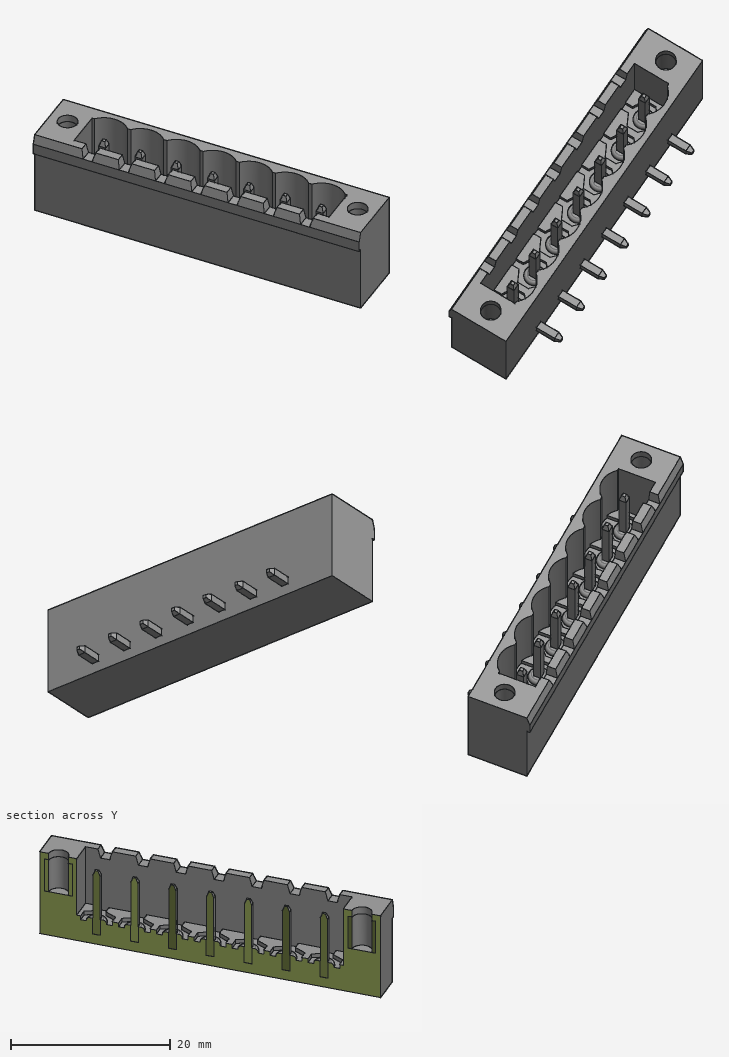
import cadquery as cq

LENGTH = 45.7
BODY_DEPTH = 8.15
HEIGHT = 12.0

LIP_OVERHANG = 0.4
LIP_HEIGHT = 2.75
LIP_BEVEL_HEIGHT = 1.25

PIN_COUNT = 7
PIN_ROW_LENGTH = 30.5
PIN_PITCH = PIN_ROW_LENGTH / (PIN_COUNT - 1)
PIN_ROW_Y = 4.25
PIN_XS = [(LENGTH - PIN_ROW_LENGTH) / 2 + PIN_PITCH * i for i in range(PIN_COUNT)]

PIN_WIDTH = 1.0
PIN_TIP_WIDTH = 0.45
PIN_TIP_LENGTH = 0.75
PIN_TOP_DROP = 1.25
TAIL_Z = 1.95
TAIL_LENGTH = 3.45

CAVITY_LENGTH = 35.75
CAVITY_FRONT_Y = 1.15
CAVITY_SHOULDER_Y = 6.25
CAVITY_DEPTH = 8.25
SCALLOP_RADIUS = 3.05

RECESS_DEPTH = 0.55
RECESS_HALF_WIDTH = 2.1
RECESS_SIDE_FRONT = -1.2
RECESS_SIDE_BACK = 0.4
BACK_CHANNEL_HALF_WIDTH = 1.05
BACK_CHANNEL_START = 1.33
FRONT_CHANNEL_HALF_WIDTH = PIN_WIDTH / 2
FRONT_CHANNEL_START = -2.0

BOSS_DIAMETER = 2.75
BOSS_ROUNDING = 0.45

NOTCH_TOP_WIDTH = 1.9
NOTCH_BOTTOM_WIDTH = 1.25

HOLE_DIAMETER = 2.6
HOLE_END_DISTANCE = 2.5
HOLE_XS = [HOLE_END_DISTANCE, LENGTH - HOLE_END_DISTANCE]
SLEEVE_DIAMETER = 3.65
SLEEVE_TOP_DROP = 1.0
SLEEVE_LENGTH = 4.55

CAVITY_FLOOR_Z = HEIGHT - CAVITY_DEPTH
RECESS_FLOOR_Z = CAVITY_FLOOR_Z - RECESS_DEPTH
SLEEVE_BOTTOM_Z = HEIGHT - SLEEVE_TOP_DROP - SLEEVE_LENGTH


def block():
    """Extruded side profile with the bevelled lip at the top front."""
    profile = [
        (0, 0),
        (BODY_DEPTH, 0),
        (BODY_DEPTH, HEIGHT),
        (0, HEIGHT),
        (-LIP_OVERHANG, HEIGHT - LIP_BEVEL_HEIGHT),
        (-LIP_OVERHANG, HEIGHT - LIP_HEIGHT),
        (0, HEIGHT - LIP_HEIGHT),
    ]
    return cq.Workplane("YZ").polyline(profile).close().extrude(LENGTH)


def cavity_space(bottom_z):
    """Scalloped cavity, reaching from bottom_z up to the top of the housing."""
    depth = HEIGHT - bottom_z
    corner = cq.Workplane("XY", origin=((LENGTH - CAVITY_LENGTH) / 2, CAVITY_FRONT_Y, bottom_z))
    space = corner.box(CAVITY_LENGTH, CAVITY_SHOULDER_Y - CAVITY_FRONT_Y, depth, centered=False)
    scallop_limit = corner.box(CAVITY_LENGTH, BODY_DEPTH - CAVITY_FRONT_Y, depth, centered=False)
    for x in PIN_XS:
        scallop = cq.Workplane("XY", origin=(x, PIN_ROW_Y, bottom_z)).circle(SCALLOP_RADIUS).extrude(depth)
        space = space.union(scallop.intersect(scallop_limit))
    return space


def floor_recess(x):
    """Octagonal pocket with a narrow channel to the front and a wide one to the back."""
    channel_front = CAVITY_FRONT_Y - PIN_ROW_Y
    right_side = [
        (FRONT_CHANNEL_HALF_WIDTH, channel_front),
        (FRONT_CHANNEL_HALF_WIDTH, FRONT_CHANNEL_START),
        (RECESS_HALF_WIDTH, RECESS_SIDE_FRONT),
        (RECESS_HALF_WIDTH, RECESS_SIDE_BACK),
        (BACK_CHANNEL_HALF_WIDTH, BACK_CHANNEL_START),
        (BACK_CHANNEL_HALF_WIDTH, SCALLOP_RADIUS),
    ]
    left_side = [(-dx, dy) for dx, dy in reversed(right_side)]
    return (
        cq.Workplane("XY", origin=(x, PIN_ROW_Y, RECESS_FLOOR_Z))
        .polyline(right_side + left_side)
        .close()
        .extrude(RECESS_DEPTH)
    )


def boss(x):
    return (
        cq.Workplane("XY", origin=(x, PIN_ROW_Y, RECESS_FLOOR_Z))
        .circle(BOSS_DIAMETER / 2)
        .extrude(RECESS_DEPTH)
        .faces(">Z")
        .edges()
        .fillet(BOSS_ROUNDING)
    )


def front_notch(x):
    """Trapezoidal cut from the front of the lip into the cavity."""
    outline = [
        (-NOTCH_BOTTOM_WIDTH / 2, -LIP_BEVEL_HEIGHT),
        (NOTCH_BOTTOM_WIDTH / 2, -LIP_BEVEL_HEIGHT),
        (NOTCH_TOP_WIDTH / 2, 0),
        (-NOTCH_TOP_WIDTH / 2, 0),
    ]
    return (
        cq.Workplane("XZ", origin=(x, CAVITY_FRONT_Y, HEIGHT))
        .polyline(outline)
        .close()
        .extrude(CAVITY_FRONT_Y + LIP_OVERHANG)
    )


def tapered_tip(workplane):
    """Truncated pyramid closing one end of a pin."""
    return (
        workplane.rect(PIN_WIDTH, PIN_WIDTH)
        .workplane(offset=PIN_TIP_LENGTH)
        .rect(PIN_TIP_WIDTH, PIN_TIP_WIDTH)
        .loft(combine=True)
    )


def make_pin(x):
    """Square wire with an upright contact, a tail out of the back and tapered ends."""
    contact_bottom = TAIL_Z - PIN_WIDTH / 2
    contact_top = HEIGHT - PIN_TOP_DROP - PIN_TIP_LENGTH
    tail_end = BODY_DEPTH + TAIL_LENGTH - PIN_TIP_LENGTH
    contact = (
        cq.Workplane("XY", origin=(x, PIN_ROW_Y, contact_bottom))
        .rect(PIN_WIDTH, PIN_WIDTH)
        .extrude(contact_top - contact_bottom)
    )
    tail = (
        cq.Workplane("XZ", origin=(x, PIN_ROW_Y, TAIL_Z))
        .rect(PIN_WIDTH, PIN_WIDTH)
        .extrude(PIN_ROW_Y - tail_end)
    )
    contact_tip = tapered_tip(cq.Workplane("XY", origin=(x, PIN_ROW_Y, contact_top)))
    tail_tip = tapered_tip(cq.Workplane(cq.Plane((x, tail_end, TAIL_Z), xDir=(1, 0, 0), normal=(0, 1, 0))))
    return contact.union(tail).union(contact_tip).union(tail_tip)


def make_sleeve(x):
    """Plain sleeve whose bore continues the screw hole."""
    return (
        cq.Workplane("XY", origin=(x, PIN_ROW_Y, SLEEVE_BOTTOM_Z))
        .circle(SLEEVE_DIAMETER / 2)
        .circle(HOLE_DIAMETER / 2)
        .extrude(SLEEVE_LENGTH)
    )


def screw_hole(x):
    """Blind hole, widened to hold the sleeve."""
    seat = cq.Workplane("XY", origin=(x, PIN_ROW_Y, SLEEVE_BOTTOM_Z))
    hole = seat.circle(HOLE_DIAMETER / 2).extrude(HEIGHT - SLEEVE_BOTTOM_Z)
    return hole.union(seat.circle(SLEEVE_DIAMETER / 2).extrude(SLEEVE_LENGTH))


def make_housing(pins):
    body = block().cut(cavity_space(CAVITY_FLOOR_Z))
    recess_limit = cavity_space(RECESS_FLOOR_Z)
    for x in PIN_XS:
        body = body.cut(floor_recess(x).intersect(recess_limit))
        body = body.union(boss(x))
        body = body.cut(front_notch(x))
    for x in HOLE_XS:
        body = body.cut(screw_hole(x))
    for pin in pins:
        body = body.cut(pin)
    return body


pins = [make_pin(x) for x in PIN_XS]
sleeves = [make_sleeve(x) for x in HOLE_XS]
housing = make_housing(pins)

result = cq.Compound.makeCompound(
    [housing.val()] + [pin.val() for pin in pins] + [sleeve.val() for sleeve in sleeves]
)